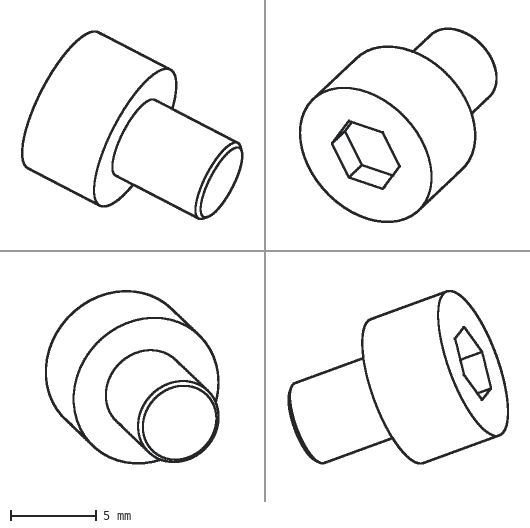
import cadquery as cq
import math

overall_length = 11.0
head_length = 5.0
head_diameter = 9.0
shank_diameter = 5.0
tip_chamfer = 0.22

socket_across_flats = 4.0
socket_depth = 1.5
socket_across_corners = socket_across_flats / math.cos(math.pi / 6)

head_face_x = -overall_length / 2


def make_head():
    return cq.Workplane("YZ", origin=(head_face_x, 0, 0)).circle(head_diameter / 2).extrude(head_length)


def make_shank():
    shank = (
        cq.Workplane("YZ", origin=(head_face_x + head_length, 0, 0))
        .circle(shank_diameter / 2)
        .extrude(overall_length - head_length)
    )
    return shank.faces(">X").chamfer(tip_chamfer)


def make_socket():
    return (
        cq.Workplane("YZ", origin=(head_face_x, 0, 0))
        .polygon(6, socket_across_corners)
        .extrude(socket_depth)
    )


result = make_head().union(make_shank()).cut(make_socket())